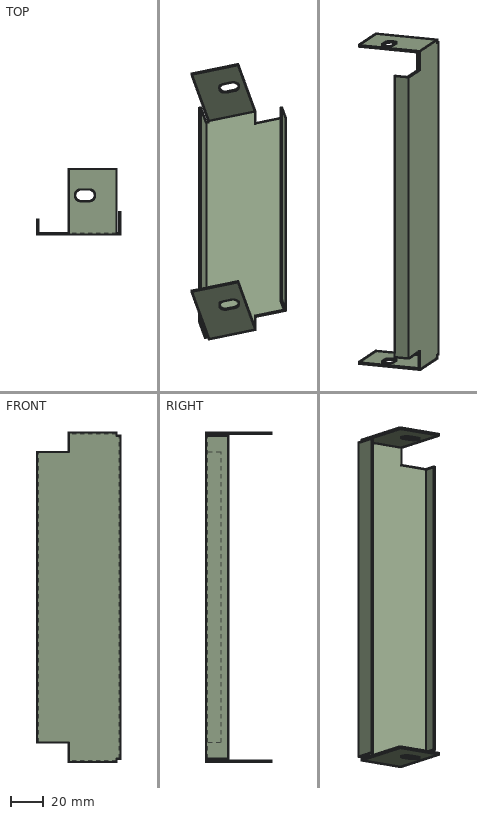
import cadquery as cq

width = 51.0
depth = 40.0
height = 201.0
sheet = 1.0

tab_left = 19.3
left_notch_height = 11.9
right_relief_width = 2.5
right_relief_height = 2.0

left_flange_depth = 9.0
right_flange_depth = 13.7

slot_length = 12.0
slot_width = 7.0
slot_x = 29.3
slot_to_rear = 16.0

slot_y = depth - slot_to_rear
tab_right = width - right_relief_width
left_side_height = height - 2 * left_notch_height
right_side_height = height - 2 * right_relief_height


def corner_box(x, y, z, x_size, y_size, z_size):
    """Box whose lowest corner is at x, y, z."""
    return cq.Workplane("XY").box(x_size, y_size, z_size, centered=False).translate((x, y, z))


def end_tab(z):
    """Rear-facing tab at one end of the plate."""
    return corner_box(tab_left, 0, z, tab_right - tab_left, depth, sheet)


plate = corner_box(tab_left, 0, 0, tab_right - tab_left, sheet, height)
plate = plate.union(corner_box(0, 0, left_notch_height, tab_left, sheet, left_side_height))
plate = plate.union(
    corner_box(tab_right, 0, right_relief_height, right_relief_width, sheet, right_side_height)
)

left_flange = corner_box(0, 0, left_notch_height, sheet, left_flange_depth, left_side_height)
right_flange = corner_box(
    width - sheet, 0, right_relief_height, sheet, right_flange_depth, right_side_height
)

slot = (
    cq.Workplane("XY")
    .center(slot_x, slot_y)
    .slot2D(slot_length, slot_width)
    .extrude(height)
)

result = plate.union(left_flange).union(right_flange)
for tab_z in (0, height - sheet):
    result = result.union(end_tab(tab_z))
result = result.cut(slot)